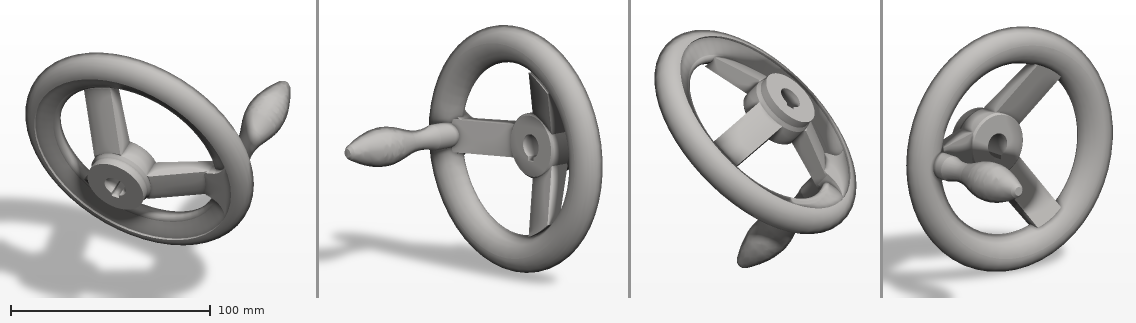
import cadquery as cq


rim_radius = 62.5
rim_front = 20.0
rim_back = 36.0
rim_round = (rim_back - rim_front) / 2
rim_middle = (rim_front + rim_back) / 2
crest_radius = rim_radius - rim_round
opening_radius = 43.6
recess_step = 1.2
recess_inner_radius = 46.1
recess_inner_y = 24.4
lip_round = recess_inner_radius - opening_radius

hub_radius = 16.5
hub_back = 18.0
hub_back_chamfer = 1.0
collar_radius = 15.5
collar_length = 4.4
hub_shoulder_y = 6.6
bore_radius = 6.0
keyway_width = 4.2
keyway_depth = 7.8

spoke_count = 3
spoke_width = 16.8
spoke_root_radius = 10.0
spoke_tip_radius = 44.5
spoke_crown = 0.6
spoke_front_slope = 0.63
spoke_back_slope = 0.52
spoke_front_y = 6.6
spoke_back_y = 17.9

plate_front = rim_front + recess_step
plate_back = 29.4
plate_inner_x = 38.8
plate_corner = 2.2
plate_neck_x = 44.6
plate_neck_half = 9.9
plate_flare_x = 50.4
plate_flare_half = 18.8

handle_x = 47.0
handle_base_radius = 6.5
handle_base_end = 42.4
neck_radius = 5.1
neck_y = 49.4
grip_start_radius = 6.1
grip_start_y = 58.5
grip_radius = 9.9
grip_widest_y = 73.1
grip_start_direction = (0.35, 1)
grip_tip_direction = (-0.5, 1)
tip_radius = 3.6
tip_y = 97.0
end_radius = 2.2
handle_end = 98.5


def make_rim():
    profile = (
        cq.Workplane("XY")
        .moveTo(crest_radius, rim_front)
        .threePointArc((rim_radius, rim_middle), (crest_radius, rim_back))
        .tangentArcPoint((opening_radius, recess_inner_y + lip_round), relative=False)
        .radiusArc((recess_inner_radius, recess_inner_y), -lip_round)
        .lineTo(crest_radius, rim_front + recess_step)
        .close()
    )
    return profile.revolve(360, (0, 0, 0), (0, 1, 0))


def make_hub():
    profile = cq.Workplane("XY").polyline([
        (0, 0),
        (collar_radius, 0),
        (collar_radius, collar_length),
        (hub_radius, hub_shoulder_y),
        (hub_radius, hub_back - hub_back_chamfer),
        (hub_radius - hub_back_chamfer, hub_back),
        (0, hub_back),
    ]).close()
    return profile.revolve(360, (0, 0, 0), (0, 1, 0))


def spoke_front(radius):
    return spoke_front_y + (radius - hub_radius) * spoke_front_slope


def spoke_back(radius):
    return spoke_back_y + (radius - hub_radius) * spoke_back_slope


def make_spoke():
    side_profile = (
        cq.Workplane("XY")
        .polyline([
            (spoke_root_radius, spoke_front(spoke_root_radius)),
            (rim_radius, spoke_front(rim_radius)),
            (rim_radius, spoke_back(rim_radius)),
            (spoke_root_radius, spoke_back(spoke_root_radius)),
        ])
        .close()
        .extrude(spoke_width / 2, both=True)
    )
    slope_direction = (1, spoke_front_slope, 0)
    front_plane = cq.Plane(
        origin=(0, spoke_front(0), 0),
        xDir=(0, 0, -1),
        normal=slope_direction,
    )
    half = spoke_width / 2
    crowned_bar = (
        cq.Workplane(front_plane)
        .moveTo(-half, spoke_crown)
        .threePointArc((0, 0), (half, spoke_crown))
        .lineTo(half, rim_back)
        .lineTo(-half, rim_back)
        .close()
        .extrude(2 * rim_radius)
    )
    hub_side = cq.Workplane("XZ", origin=(0, spoke_front_y, 0)).circle(rim_radius).extrude(-rim_back)
    spoke = side_profile.intersect(crowned_bar).intersect(hub_side)
    tip_cylinder = cq.Workplane("XZ").circle(spoke_tip_radius).extrude(-rim_back)
    return spoke.intersect(tip_cylinder)


def make_plate():
    half = spoke_width / 2
    flare = plate_flare_x - plate_neck_x
    plate = (
        cq.Workplane("XZ", origin=(0, plate_front, 0))
        .moveTo(plate_inner_x, half - plate_corner)
        .radiusArc((plate_inner_x + plate_corner, half), plate_corner)
        .lineTo(plate_neck_x, plate_neck_half)
        .radiusArc((plate_flare_x, plate_flare_half), -2 * flare)
        .lineTo(plate_flare_x, plate_flare_half + plate_corner)
        .lineTo(rim_radius, plate_flare_half + plate_corner)
        .lineTo(rim_radius, 0)
        .lineTo(plate_inner_x, 0)
        .close()
        .extrude(plate_front - plate_back)
    )
    rim_bound = cq.Workplane("XZ").circle(crest_radius).extrude(-rim_back)
    return plate.union(plate.mirror("XY")).intersect(rim_bound)


def make_handle():
    profile = (
        cq.Workplane("XY")
        .moveTo(handle_x, rim_middle)
        .lineTo(handle_x + handle_base_radius, rim_middle)
        .lineTo(handle_x + handle_base_radius, handle_base_end)
        .threePointArc(
            (handle_x + neck_radius, neck_y),
            (handle_x + grip_start_radius, grip_start_y),
        )
        .spline(
            [(handle_x + grip_radius, grip_widest_y), (handle_x + tip_radius, tip_y)],
            tangents=[grip_start_direction, grip_tip_direction],
            includeCurrent=True,
        )
        .lineTo(handle_x + end_radius, handle_end)
        .lineTo(handle_x, handle_end)
        .close()
    )
    return profile.revolve(360, (handle_x, 0, 0), (handle_x, 1, 0))


def make_bore():
    bore = cq.Workplane("XZ").circle(bore_radius).extrude(-hub_back)
    keyway = cq.Workplane("XY").box(
        keyway_width, hub_back, keyway_depth, centered=(True, False, False)
    ).translate((0, 0, -keyway_depth))
    return bore.union(keyway)


wheel = make_rim().union(make_hub())
for index in range(spoke_count):
    spoke = make_spoke().rotate((0, 0, 0), (0, 1, 0), index * 360 / spoke_count)
    wheel = wheel.union(spoke)

result = wheel.union(make_plate()).union(make_handle()).cut(make_bore())